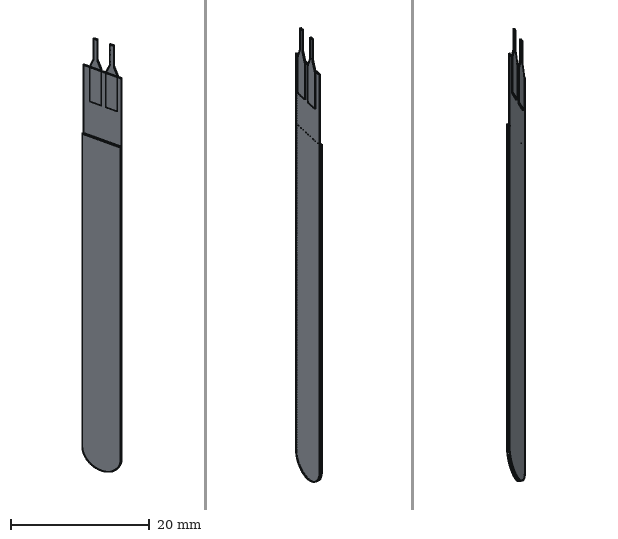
import cadquery as cq

total_thickness = 0.65
total_height = 79.25

strip_width = 6.35
end_radius = strip_width / 2
substrate_top = 73.9
cover_top = 61.3

cover_thickness = 0.29
substrate_thickness = 0.15
substrate_back = cover_thickness + substrate_thickness
lead_thickness = total_thickness - substrate_back

lead_pitch = 2.7
lead_pair_offset = 0.12
pin_width = 0.6
pin_bottom = 75.45
tab_width = 1.9
tab_top = substrate_top
tab_bottom = 67.4


def make_strip(top, front, thickness):
    """Flat strip with a square top and a round bottom end, from Y = front towards +Y."""
    return (
        cq.Workplane("XZ", origin=(0, front, 0))
        .moveTo(-end_radius, top)
        .lineTo(-end_radius, end_radius)
        .threePointArc((0, 0), (end_radius, end_radius))
        .lineTo(end_radius, top)
        .close()
        .extrude(-thickness)
    )


def make_lead(center_x):
    """Flat lead on the back of the substrate: a narrow pin that flares into a wide tab."""
    half_pin = pin_width / 2
    half_tab = tab_width / 2
    return (
        cq.Workplane("XZ", origin=(center_x, substrate_back, 0))
        .moveTo(-half_tab, tab_bottom)
        .lineTo(half_tab, tab_bottom)
        .lineTo(half_tab, tab_top)
        .lineTo(half_pin, pin_bottom)
        .lineTo(half_pin, total_height)
        .lineTo(-half_pin, total_height)
        .lineTo(-half_pin, pin_bottom)
        .lineTo(-half_tab, tab_top)
        .close()
        .extrude(-lead_thickness)
    )


cover = make_strip(cover_top, 0, cover_thickness)
substrate = make_strip(substrate_top, cover_thickness, substrate_thickness)

leads = []
for side in (-1, 1):
    leads.append(make_lead(lead_pair_offset + side * lead_pitch / 2))

result = cq.Compound.makeCompound([cover.val(), substrate.val(), *[lead.val() for lead in leads]])